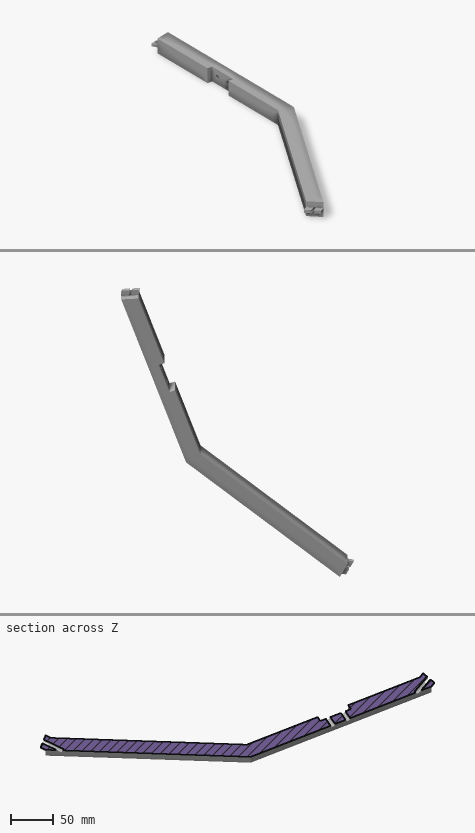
import cadquery as cq
import math

overall_length = 460.5
bar_size = 20.0
bend_angle = 30.0
miter_angle = bend_angle / 2
bend_x = 246.8

notch_start_x = 107.5
notch_length = 40.0
notch_depth = 7.0
cross_hole_diameter = 5.5
cross_hole_fractions = (0.25, 0.75)

tongue_thickness = 4.0
tongue_reach = 7.5
end_bore_diameter = 5.0
end_bore_depth = 20.0

left_face_angle = -90 + miter_angle
right_face_angle = -90 - bend_angle - miter_angle
left_tongue_angle = 180 + bend_angle
right_tongue_angle = -2 * bend_angle


def step(point, angle, distance):
    """Return the point moved by a distance at an angle in degrees from +X."""
    radians = math.radians(angle)
    return (point[0] + distance * math.cos(radians), point[1] + distance * math.sin(radians))


miter_length = bar_size / math.cos(math.radians(miter_angle))
left_outer = (-tongue_reach * math.cos(math.radians(left_tongue_angle)), 0)
left_inner = step(left_outer, left_face_angle, miter_length)
bend_outer = (bend_x, 0)
bend_inner = step(bend_outer, -90 - miter_angle, miter_length)
right_outer_x = overall_length - tongue_reach * math.cos(math.radians(right_tongue_angle))
right_outer = (right_outer_x, -(right_outer_x - bend_x) * math.tan(math.radians(bend_angle)))
right_inner = step(right_outer, right_face_angle, miter_length)


def make_prism(outline, height):
    """Extrude a closed XY outline evenly about Z = 0."""
    return cq.Workplane("XY").polyline(outline).close().extrude(height / 2, both=True)


def make_bar():
    outline = [left_outer, bend_outer, right_outer, right_inner, bend_inner, left_inner]
    return make_prism(outline, bar_size)


def cut_notch(body):
    notch = cq.Workplane("XY").box(notch_length, notch_depth, bar_size, centered=(False, False, True))
    return body.cut(notch.translate((notch_start_x, -bar_size, 0)))


def cut_cross_holes(body):
    for fraction in cross_hole_fractions:
        hole_x = notch_start_x + fraction * notch_length
        hole = cq.Workplane("XZ").center(hole_x, 0).circle(cross_hole_diameter / 2).extrude(bar_size)
        body = body.cut(hole)
    return body


def add_split_tongue(body, outer_corner, inner_corner, face_angle, tongue_angle):
    """Add a tongue across an end face and bore it along its slanted direction."""
    outer_tip = step(outer_corner, tongue_angle, tongue_reach)
    inner_tip = step(inner_corner, tongue_angle, tongue_reach)
    tongue = make_prism([outer_corner, inner_corner, inner_tip, outer_tip], tongue_thickness)

    tip_center = step(outer_tip, face_angle, miter_length / 2)
    bore_start = step(tip_center, tongue_angle, end_bore_diameter)
    bore_length = end_bore_diameter + tongue_reach + end_bore_depth
    inward = step((0, 0), tongue_angle + 180, 1)
    bore = cq.Solid.makeCylinder(
        end_bore_diameter / 2, bore_length, cq.Vector(*bore_start, 0), cq.Vector(*inward, 0)
    )
    return body.union(tongue).cut(cq.Workplane(bore))


result = cut_cross_holes(cut_notch(make_bar()))
result = add_split_tongue(result, left_outer, left_inner, left_face_angle, left_tongue_angle)
result = add_split_tongue(result, right_outer, right_inner, right_face_angle, right_tongue_angle)